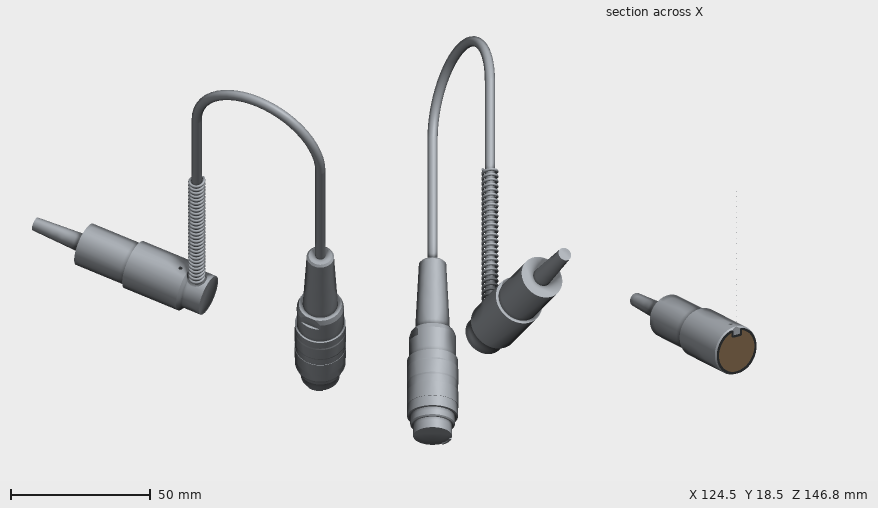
import cadquery as cq
import math

OVERALL_HEIGHT = 146.8
PROBE_AXIS_Z = 20.0

CABLE_DIAMETER = 3.7
PROBE_CABLE_X = 65.3
PLUG_X = 115.3
BEND_RADIUS = (PLUG_X - PROBE_CABLE_X) / 2
BEND_START_Z = OVERALL_HEIGHT - CABLE_DIAMETER / 2 - BEND_RADIUS

TIP_END_DIAMETER = 5.0
TIP_BASE_DIAMETER = 6.9
TIP_LENGTH = 20.0
SLEEVE_DIAMETER = 16.0
SLEEVE_LENGTH = 20.0

BARREL_DIAMETER = 18.2
BARREL_START_X = TIP_LENGTH + SLEEVE_LENGTH
BEVEL_START_X = 61.7
BEVEL_END_X = 63.0
REAR_DIAMETER = 15.0
HOUSING_END_X = 70.0
VENT_DIAMETER = 1.5
VENT_DEPTH = 1.5
VENT_X = 58.7

WIRE_DIAMETER = 1.0
COIL_DIAMETER = 5.1
SPRING_TURNS = 29
SPRING_START_Z = 26.6
SPRING_RISE = 58.0
SPRING_START_ANGLE = 60
SEAT_DIAMETER = 7.0
SEAT_CLEARANCE = 0.1
SEAT_Z = SPRING_START_Z - WIRE_DIAMETER / 2 - SEAT_CLEARANCE

KEY_HEIGHT = 0.5
KEY_INNER_DIAMETER = 12.6
KEY_START_ANGLE = -100
KEY_SWEEP = 45
MATING_DIAMETER = 14.0
SHOULDER_DIAMETER = 16.0
SHOULDER_Z = 4.7
SHOULDER_BEVEL = 0.5
GRIP_DIAMETER = 18.2
BAND_DIAMETER = 18.5
GRIP_Z = 8.2
LOWER_BAND_START_Z = 12.2
LOWER_BAND_END_Z = 17.9
UPPER_BAND_START_Z = 21.0
UPPER_BAND_END_Z = 27.5
UPPER_BAND_BEVEL = 0.6
COLLAR_Z = 30.8
COLLAR_DIAMETER = 16.9
COLLAR_TOP_DIAMETER = 15.4
COLLAR_BEVEL_Z = 40.1
COLLAR_TOP_Z = 42.0
FLAT_WIDTH = 15.0
FLAT_START_Z = 37.7

BOOT_BASE_DIAMETER = 12.6
BOOT_TAPER_TOP_DIAMETER = 9.8
BOOT_TOP_DIAMETER = 8.4
BOOT_BEVEL_Z = 69.5
BOOT_TOP_Z = 70.2


def revolved_along_z(stations, x):
    """Solid of revolution about the vertical line at x from (diameter, z) stations."""
    outline = [(0, stations[0][1])]
    outline += [(diameter / 2, z) for diameter, z in stations]
    outline += [(0, stations[-1][1])]
    profile = cq.Workplane("XZ").polyline(outline).close()
    return profile.revolve(360, (0, 0, 0), (0, 1, 0)).translate((x, 0, 0))


def revolved_along_x(stations):
    """Solid of revolution about the probe axis from (x, diameter) stations."""
    outline = [(stations[0][0], 0)]
    outline += [(x, diameter / 2) for x, diameter in stations]
    outline += [(stations[-1][0], 0)]
    profile = cq.Workplane("XZ").polyline(outline).close()
    return profile.revolve(360, (0, 0, 0), (1, 0, 0)).translate((0, 0, PROBE_AXIS_Z))


def make_nose():
    return revolved_along_x([
        (0, TIP_END_DIAMETER),
        (TIP_LENGTH, TIP_BASE_DIAMETER),
        (TIP_LENGTH, SLEEVE_DIAMETER),
        (BARREL_START_X, SLEEVE_DIAMETER),
    ])


def make_housing():
    body = revolved_along_x([
        (BARREL_START_X, BARREL_DIAMETER),
        (BEVEL_START_X, BARREL_DIAMETER),
        (BEVEL_END_X, REAR_DIAMETER),
        (HOUSING_END_X, REAR_DIAMETER),
    ])
    barrel_top_z = PROBE_AXIS_Z + BARREL_DIAMETER / 2
    seat = (
        cq.Workplane("XY", origin=(PROBE_CABLE_X, 0, SEAT_Z))
        .circle(SEAT_DIAMETER / 2)
        .extrude(barrel_top_z - SEAT_Z)
    )
    vent = (
        cq.Workplane("XY", origin=(VENT_X, 0, barrel_top_z - VENT_DEPTH))
        .circle(VENT_DIAMETER / 2)
        .extrude(VENT_DEPTH)
    )
    return body.cut(seat).cut(vent)


def make_spring():
    coil_radius = COIL_DIAMETER / 2
    helix = cq.Wire.makeHelix(SPRING_RISE / SPRING_TURNS, SPRING_RISE, coil_radius)
    spring = (
        cq.Workplane("XZ", origin=(coil_radius, 0, 0))
        .circle(WIRE_DIAMETER / 2)
        .sweep(cq.Workplane(helix), isFrenet=True)
    )
    return (
        spring.rotate((0, 0, 0), (0, 0, 1), SPRING_START_ANGLE)
        .translate((PROBE_CABLE_X, 0, SPRING_START_Z))
    )


def make_cable():
    path = (
        cq.Workplane("XZ")
        .moveTo(PROBE_CABLE_X, SEAT_Z)
        .lineTo(PROBE_CABLE_X, BEND_START_Z)
        .threePointArc(
            (PROBE_CABLE_X + BEND_RADIUS, BEND_START_Z + BEND_RADIUS),
            (PLUG_X, BEND_START_Z),
        )
        .lineTo(PLUG_X, BOOT_TOP_Z)
    )
    start = cq.Workplane("XY", origin=(PROBE_CABLE_X, 0, SEAT_Z))
    return start.circle(CABLE_DIAMETER / 2).sweep(path)


def make_key():
    """Raised arc on the plug's mating face."""
    outer = MATING_DIAMETER / 2
    inner = KEY_INNER_DIAMETER / 2

    def point(radius, fraction):
        angle = math.radians(KEY_START_ANGLE + fraction * KEY_SWEEP)
        return (radius * math.cos(angle), radius * math.sin(angle))

    return (
        cq.Workplane("XY", origin=(PLUG_X, 0, 0))
        .moveTo(*point(outer, 0))
        .threePointArc(point(outer, 0.5), point(outer, 1))
        .lineTo(*point(inner, 1))
        .threePointArc(point(inner, 0.5), point(inner, 0))
        .close()
        .extrude(KEY_HEIGHT)
    )


def make_plug():
    stations = [
        (MATING_DIAMETER, KEY_HEIGHT),
        (MATING_DIAMETER, SHOULDER_Z),
        (SHOULDER_DIAMETER - 2 * SHOULDER_BEVEL, SHOULDER_Z),
        (SHOULDER_DIAMETER, SHOULDER_Z + SHOULDER_BEVEL),
        (SHOULDER_DIAMETER, GRIP_Z),
        (GRIP_DIAMETER, GRIP_Z),
        (GRIP_DIAMETER, LOWER_BAND_START_Z),
        (BAND_DIAMETER, LOWER_BAND_START_Z),
        (BAND_DIAMETER, LOWER_BAND_END_Z),
        (GRIP_DIAMETER, LOWER_BAND_END_Z),
        (GRIP_DIAMETER, UPPER_BAND_START_Z),
        (BAND_DIAMETER, UPPER_BAND_START_Z + UPPER_BAND_BEVEL),
        (BAND_DIAMETER, UPPER_BAND_END_Z - UPPER_BAND_BEVEL),
        (GRIP_DIAMETER, UPPER_BAND_END_Z),
        (GRIP_DIAMETER, COLLAR_Z),
        (COLLAR_DIAMETER, COLLAR_Z),
        (COLLAR_DIAMETER, COLLAR_BEVEL_Z),
        (COLLAR_TOP_DIAMETER, COLLAR_TOP_Z),
    ]
    plug = revolved_along_z(stations, PLUG_X).union(make_key())

    flat_height = COLLAR_TOP_Z - FLAT_START_Z
    flat_depth = (COLLAR_DIAMETER - FLAT_WIDTH) / 2
    for side in (-1, 1):
        flat = cq.Workplane("XY").box(COLLAR_DIAMETER, flat_depth, flat_height)
        flat_y = side * (FLAT_WIDTH + flat_depth) / 2
        plug = plug.cut(flat.translate((PLUG_X, flat_y, FLAT_START_Z + flat_height / 2)))
    return plug


def make_boot():
    return revolved_along_z([
        (BOOT_BASE_DIAMETER, COLLAR_TOP_Z),
        (BOOT_TAPER_TOP_DIAMETER, BOOT_BEVEL_Z),
        (BOOT_TOP_DIAMETER, BOOT_TOP_Z),
    ], PLUG_X)


nose = make_nose()
housing = make_housing()
spring = make_spring()
cable = make_cable()
plug = make_plug()
boot = make_boot()

result = cq.Compound.makeCompound([
    nose.val(),
    housing.val(),
    spring.val(),
    cable.val(),
    plug.val(),
    boot.val(),
])